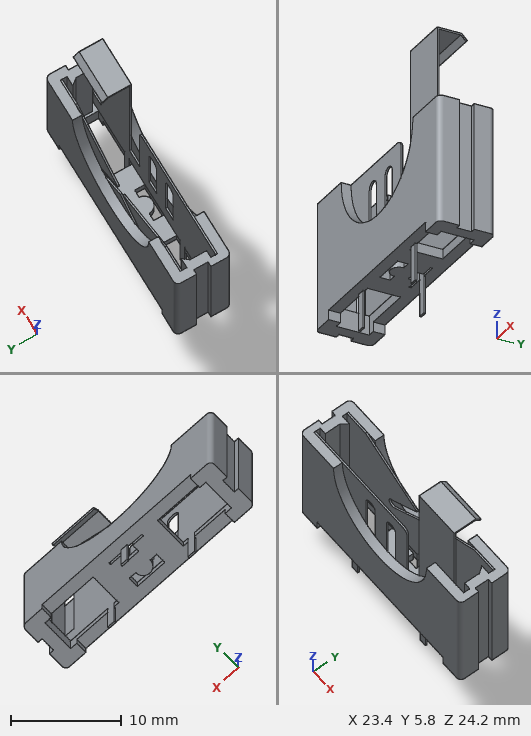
import cadquery as cq
import math


TOTAL_HEIGHT = 24.2
HOUSING_TOP = 15.88
HOUSING_BOTTOM = 2.8
FOOT_HEIGHT = 1.0
FLOOR_THICKNESS = 1.0
FLOOR_BOTTOM = HOUSING_BOTTOM + FOOT_HEIGHT
FLOOR_TOP = FLOOR_BOTTOM + FLOOR_THICKNESS

WIDTH = 23.4
DEPTH = 5.8
WALL = 1.02
CORNER_RADIUS = 0.5
FOOT_WIDTH = 2.52
FINGER_CUTOUT_RADIUS = 6.8
INNER_Y = DEPTH / 2 - WALL

SIDE_GROOVE_WIDTH = 1.5
SIDE_GROOVE_DEPTH = 0.5

CAVITY_HALF_WIDTH = 10.2
REAR_SLOT_HALF_WIDTH = 10.7
FRONT_SLOT_HALF_WIDTH = 10.95
GUIDE_SLOT_DEPTH = 0.7
LIP_REACH = 0.5
LIP_HEIGHT = 0.65

FLOOR_OPENING_INNER_X = 4.0
FLOOR_OPENING_OUTER_X = 9.95
REAR_RECESS_WIDTH = 4.07
REAR_RECESS_END_Y = 1.5
REAR_NOTCH_WIDTH = 1.4
REAR_NOTCH_END_Y = 0.7
FRONT_NOTCH_WIDTH = 3.4
FRONT_NOTCH_END_Y = -0.63
FRONT_NOTCH_BUMP_RADIUS = 0.9

SHEET = 0.2
PIN_WIDTH = 0.8
PIN_PITCH = 4.96
FRONT_PIN_XS = (-PIN_PITCH, PIN_PITCH)
REAR_PIN_XS = (0.0,)
REAR_SHEET_Y = INNER_Y - SHEET
FRONT_SHEET_Y = -INNER_Y
FLOOR_CUT_Y = INNER_Y - SHEET

TAB_EDGE_X = 2.66
TAB_CORNER_RADIUS = 0.65
TAB_SLOT_WIDTH = 1.33
TAB_SLOT_XS = (-2.69, 0.31)
TAB_SLOT_TOP = 14.24
TAB_ROOT_Z = 7.26
HOOK_LEFT_X = 4.43
HOOK_RIGHT_X = 9.56
HOOK_BEND_Y = 0.6
HOOK_TIP_REACH = 0.6
HOOK_TIP_ANGLE = math.radians(45)

VEE_HALF_WIDTH = 7.97
VEE_DEPTH = 4.15
SPRING_GAP = 0.92
RELIEF_PEAK_Z = 11.62
RELIEF_ANGLE = 34.0
RELIEF_WIDTH = 0.95
RELIEF_END_X = 4.05


def box(x0, x1, y0, y1, z0, z1):
    """Axis-aligned block between two corners."""
    return cq.Workplane("XY").box(x1 - x0, y1 - y0, z1 - z0, centered=False).translate((x0, y0, z0))


def pin_blanks(pin_xs, sheet_y, bottom):
    """Flat pins standing from the given level up to the top of the floor."""
    pins = cq.Workplane("XY")
    for x in pin_xs:
        pins = pins.union(
            box(x - PIN_WIDTH / 2, x + PIN_WIDTH / 2, sheet_y, sheet_y + SHEET, bottom, FLOOR_TOP)
        )
    return pins


def extrude_front_outline(outline, y, thickness):
    """Extrude a closed XZ outline towards +Y, starting at the given Y."""
    return outline.extrude(-thickness).translate((0, y, 0))


def cavity():
    """Inner space above the floor, with the guide slots and bevelled lips."""
    slot_y = INNER_Y - GUIDE_SLOT_DEPTH
    lip_x = CAVITY_HALF_WIDTH - LIP_REACH
    right_side = [
        (FRONT_SLOT_HALF_WIDTH, -INNER_Y),
        (FRONT_SLOT_HALF_WIDTH, -slot_y),
        (CAVITY_HALF_WIDTH, -slot_y),
        (CAVITY_HALF_WIDTH, slot_y - LIP_HEIGHT),
        (lip_x, slot_y),
        (REAR_SLOT_HALF_WIDTH, slot_y),
        (REAR_SLOT_HALF_WIDTH, INNER_Y),
    ]
    left_side = [(-x, y) for x, y in reversed(right_side)]
    return (
        cq.Workplane("XY", origin=(0, 0, FLOOR_TOP))
        .polyline(right_side + left_side).close()
        .extrude(HOUSING_TOP - FLOOR_TOP)
    )


def floor_cutouts():
    """Everything that passes down through the floor, apart from the pin holes."""
    levels = (FLOOR_BOTTOM, FLOOR_TOP)
    rear_recess = box(-REAR_RECESS_WIDTH / 2, REAR_RECESS_WIDTH / 2, REAR_RECESS_END_Y, FLOOR_CUT_Y, *levels)
    rear_notch = box(-REAR_NOTCH_WIDTH / 2, REAR_NOTCH_WIDTH / 2, REAR_NOTCH_END_Y, FLOOR_CUT_Y, *levels)
    bump = (
        cq.Workplane("XY", origin=(0, FRONT_NOTCH_END_Y, FLOOR_BOTTOM))
        .circle(FRONT_NOTCH_BUMP_RADIUS).extrude(FLOOR_THICKNESS)
    )
    front_notch = box(
        -FRONT_NOTCH_WIDTH / 2, FRONT_NOTCH_WIDTH / 2, -FLOOR_CUT_Y, FRONT_NOTCH_END_Y, *levels
    ).cut(bump)
    cutouts = rear_recess.union(rear_notch).union(front_notch)
    side_opening = box(FLOOR_OPENING_INNER_X, FLOOR_OPENING_OUTER_X, -FLOOR_CUT_Y, FLOOR_CUT_Y, *levels)
    return cutouts.union(side_opening).union(side_opening.mirror("YZ"))


def make_housing():
    half_width = WIDTH / 2
    half_depth = DEPTH / 2
    body = box(-half_width, half_width, -half_depth, half_depth, HOUSING_BOTTOM, HOUSING_TOP)
    body = body.edges("|Z").fillet(CORNER_RADIUS)

    side_groove = box(
        half_width - SIDE_GROOVE_DEPTH, half_width,
        -SIDE_GROOVE_WIDTH / 2, SIDE_GROOVE_WIDTH / 2,
        HOUSING_BOTTOM, HOUSING_TOP,
    )
    body = body.cut(side_groove).cut(side_groove.mirror("YZ"))

    foot_inner_x = half_width - FOOT_WIDTH
    body = body.cut(box(-foot_inner_x, foot_inner_x, -half_depth, half_depth, HOUSING_BOTTOM, FLOOR_BOTTOM))
    under_floor = box(
        -FLOOR_OPENING_OUTER_X, FLOOR_OPENING_OUTER_X, -FLOOR_CUT_Y, FLOOR_CUT_Y, HOUSING_BOTTOM, FLOOR_BOTTOM
    )
    body = body.cut(under_floor).cut(cavity()).cut(floor_cutouts())

    finger_cutout = extrude_front_outline(
        cq.Workplane("XZ").center(0, HOUSING_TOP).circle(FINGER_CUTOUT_RADIUS), -half_depth, DEPTH
    )
    body = body.cut(finger_cutout)

    pin_holes = pin_blanks(FRONT_PIN_XS, FRONT_SHEET_Y, FLOOR_BOTTOM).union(
        pin_blanks(REAR_PIN_XS, REAR_SHEET_Y, FLOOR_BOTTOM)
    )
    return body.cut(pin_holes)


def make_front_contact():
    """Sheet with a slotted tab, a tall hook arm and two pins."""
    half_width = FRONT_SLOT_HALF_WIDTH
    y0, y1 = FRONT_SHEET_Y, FRONT_SHEET_Y + SHEET
    base = box(-half_width, half_width, y0, y1, FLOOR_TOP, TAB_ROOT_Z)
    tab = box(-half_width, TAB_EDGE_X, y0, y1, TAB_ROOT_Z, HOUSING_TOP)
    tab = tab.edges("|Y and >X and >Z").fillet(TAB_CORNER_RADIUS)

    slot_radius = TAB_SLOT_WIDTH / 2
    for x in TAB_SLOT_XS:
        slot = (
            cq.Workplane("XZ")
            .moveTo(x - slot_radius, TAB_ROOT_Z)
            .lineTo(x - slot_radius, TAB_SLOT_TOP - slot_radius)
            .threePointArc((x, TAB_SLOT_TOP), (x + slot_radius, TAB_SLOT_TOP - slot_radius))
            .lineTo(x + slot_radius, TAB_ROOT_Z)
            .close()
        )
        tab = tab.cut(extrude_front_outline(slot, y0, SHEET))

    tip_y = HOOK_BEND_Y + HOOK_TIP_REACH
    tip_z = TOTAL_HEIGHT - HOOK_TIP_REACH * math.tan(HOOK_TIP_ANGLE)
    tip_shift_y = SHEET * math.sin(HOOK_TIP_ANGLE)
    tip_shift_z = SHEET * math.cos(HOOK_TIP_ANGLE)
    inner_bend_y = HOOK_BEND_Y - SHEET * math.tan(HOOK_TIP_ANGLE / 2)
    hook = (
        cq.Workplane("YZ", origin=(HOOK_LEFT_X, 0, 0))
        .polyline([
            (y0, TAB_ROOT_Z),
            (y0, TOTAL_HEIGHT),
            (HOOK_BEND_Y, TOTAL_HEIGHT),
            (tip_y, tip_z),
            (tip_y - tip_shift_y, tip_z - tip_shift_z),
            (inner_bend_y, TOTAL_HEIGHT - SHEET),
            (y1, TOTAL_HEIGHT - SHEET),
            (y1, TAB_ROOT_Z),
        ])
        .close()
        .extrude(HOOK_RIGHT_X - HOOK_LEFT_X)
    )
    return base.union(tab).union(hook).union(pin_blanks(FRONT_PIN_XS, y0, 0))


def relief_slot():
    """Sloping slot under the right spring arm, round at its outer end."""
    run = RELIEF_END_X / math.cos(math.radians(RELIEF_ANGLE))
    radius = RELIEF_WIDTH / 2
    slot = (
        cq.Workplane("XZ")
        .moveTo(0, -radius)
        .lineTo(run, -radius)
        .threePointArc((run + radius, 0), (run, radius))
        .lineTo(-RELIEF_WIDTH, radius)
        .lineTo(-RELIEF_WIDTH, -radius)
        .close()
    )
    slot = extrude_front_outline(slot, REAR_SHEET_Y, SHEET)
    slot = slot.rotate((0, 0, 0), (0, 1, 0), RELIEF_ANGLE).translate((0, 0, RELIEF_PEAK_Z))
    right_half = box(0, WIDTH / 2, REAR_SHEET_Y, REAR_SHEET_Y + SHEET, FLOOR_TOP, HOUSING_TOP)
    return slot.intersect(right_half)


def make_rear_contact():
    """Sheet with a V-shaped top edge, two spring arms and one pin."""
    half_width = REAR_SLOT_HALF_WIDTH
    outline = cq.Workplane("XZ").polyline([
        (-half_width, FLOOR_TOP),
        (half_width, FLOOR_TOP),
        (half_width, HOUSING_TOP),
        (VEE_HALF_WIDTH, HOUSING_TOP),
        (0, HOUSING_TOP - VEE_DEPTH),
        (-VEE_HALF_WIDTH, HOUSING_TOP),
        (-half_width, HOUSING_TOP),
    ]).close()
    sheet = extrude_front_outline(outline, REAR_SHEET_Y, SHEET)
    tip_gap = box(
        -SPRING_GAP / 2, SPRING_GAP / 2, REAR_SHEET_Y, REAR_SHEET_Y + SHEET, RELIEF_PEAK_Z, HOUSING_TOP
    )
    relief = relief_slot()
    sheet = sheet.cut(tip_gap).cut(relief).cut(relief.mirror("YZ"))
    return sheet.union(pin_blanks(REAR_PIN_XS, REAR_SHEET_Y, 0))


housing = make_housing()
front_contact = make_front_contact()
rear_contact = make_rear_contact()

bodies = (housing, front_contact, rear_contact)
result = cq.Compound.makeCompound([body.solids().val() for body in bodies])